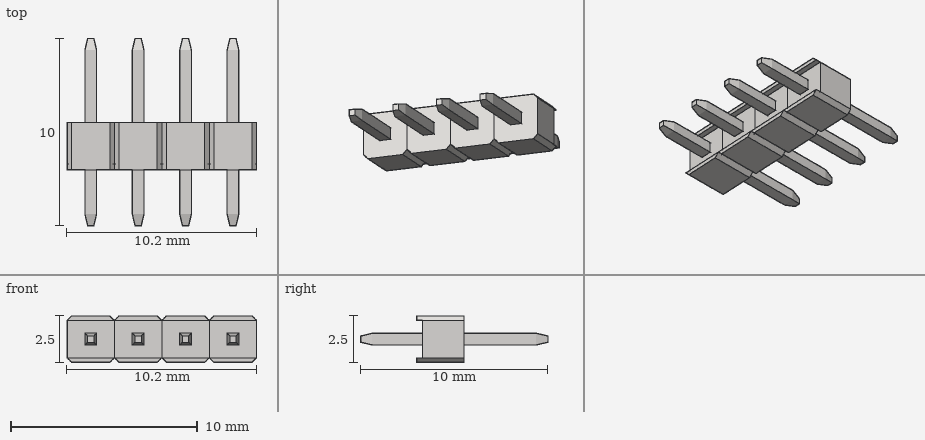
import cadquery as cq

position_count = 4
pitch = 2.54

housing_width = pitch
housing_depth = 2.54
housing_height = 2.5
corner_chamfer = 0.25
front_recess_depth = 0.3

pin_size = 0.64
pin_tip_size = 0.34
pin_tip_length = 0.63
pin_front_length = 3.0
pin_rear_length = 4.5

housing_rear_y = housing_depth
pin_front_y = -pin_front_length
pin_rear_y = housing_rear_y + pin_rear_length
pin_shank_front_y = pin_front_y + pin_tip_length
pin_shank_rear_y = pin_rear_y - pin_tip_length

wall_height = housing_height - 2 * corner_chamfer


def box_along_y(width, height, start_y, end_y):
    """Box centred on the Y axis, running from start_y to end_y."""
    length = end_y - start_y
    return (
        cq.Workplane("XY")
        .box(width, length, height)
        .translate((0, start_y + length / 2, 0))
    )


def make_housing():
    """Block with chamfered long edges, a front recess between its flanges and a pin hole."""
    block = box_along_y(housing_width, housing_height, 0, housing_rear_y)
    block = block.edges("|Y").chamfer(corner_chamfer)
    front_recess = box_along_y(housing_width, wall_height, 0, front_recess_depth)
    pin_hole = box_along_y(pin_size, pin_size, 0, housing_rear_y)
    return block.cut(front_recess).cut(pin_hole)


def make_pin_tip(shank_end_y, tip_end_y):
    """Tapered square tip from the end of the shank to the end of the pin."""
    return (
        cq.Workplane("XZ", origin=(0, shank_end_y, 0))
        .rect(pin_size, pin_size)
        .workplane(offset=shank_end_y - tip_end_y)
        .rect(pin_tip_size, pin_tip_size)
        .loft(ruled=True)
    )


def make_pin():
    """Square shank with a tapered tip at each end."""
    shank = box_along_y(pin_size, pin_size, pin_shank_front_y, pin_shank_rear_y)
    front_tip = make_pin_tip(pin_shank_front_y, pin_front_y)
    rear_tip = make_pin_tip(pin_shank_rear_y, pin_rear_y)
    return shank.union(front_tip).union(rear_tip)


first_position_x = -pitch * (position_count - 1) / 2
bodies = []
for index in range(position_count):
    offset = (first_position_x + index * pitch, 0, 0)
    housing = make_housing().translate(offset)
    pin = make_pin().translate(offset)
    bodies.append(housing.solids().val())
    bodies.append(pin.solids().val())

result = cq.Compound.makeCompound(bodies)